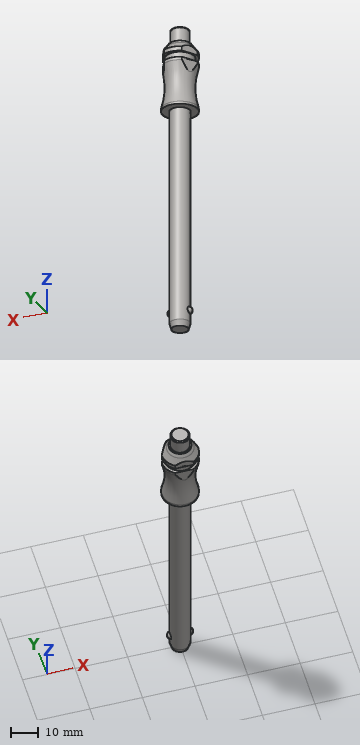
import cadquery as cq

total_length = 121.3
handle_radius = 14.0 / 2

shank_radius = 3.94
tip_radius = 3.21
tip_height = 2.4

ball_radius = 1.5
ball_height = 7.0
ball_reach = 5.0

handle_bottom = 88.3
rim_height = 1.1
waist_radius = 5.7
waist_height = 97.8
groove_bottom = 107.4
groove_top = 109.9
groove_radius = 5.7
shoulder_bottom = 111.6
shoulder_top = 114.1
shoulder_top_radius = 5.1
collar_top = 115.2
collar_top_radius = 4.2

button_radius = 3.58
button_chamfer = 0.5

flat_distance = 6.1
flat_count = 3
first_flat_angle = -90.0

lower_rim_top = handle_bottom + rim_height
upper_rim_bottom = groove_bottom - rim_height


def make_body():
    """Revolve the shank, handle and button about Z."""
    profile = (
        cq.Workplane("XZ")
        .lineTo(tip_radius, 0)
        .lineTo(shank_radius, tip_height)
        .lineTo(shank_radius, handle_bottom)
        .lineTo(handle_radius, handle_bottom)
        .lineTo(handle_radius, lower_rim_top)
        .threePointArc((waist_radius, waist_height), (handle_radius, upper_rim_bottom))
        .lineTo(handle_radius, groove_bottom)
        .lineTo(groove_radius, groove_bottom)
        .lineTo(groove_radius, groove_top)
        .lineTo(handle_radius, groove_top)
        .lineTo(handle_radius, shoulder_bottom)
        .lineTo(shoulder_top_radius, shoulder_top)
        .lineTo(collar_top_radius, collar_top)
        .lineTo(button_radius, collar_top)
        .lineTo(button_radius, total_length - button_chamfer)
        .lineTo(button_radius - button_chamfer, total_length)
        .lineTo(0, total_length)
        .close()
    )
    return profile.revolve(360, (0, 0, 0), (0, 1, 0))


def make_flat_cutter(angle):
    """Block that removes handle material beyond one flat, from the waist up."""
    block_depth = handle_radius
    return (
        cq.Workplane("XY")
        .box(block_depth, 2 * handle_radius, collar_top - waist_height, centered=(False, True, False))
        .translate((flat_distance, 0, waist_height))
        .rotate((0, 0, 0), (0, 0, 1), angle)
    )


def make_ball(side):
    """Locking ball protruding from the shank on the +X or -X side."""
    return cq.Workplane("XY").sphere(ball_radius).translate((side * (ball_reach - ball_radius), 0, ball_height))


result = make_body()

for index in range(flat_count):
    result = result.cut(make_flat_cutter(first_flat_angle + index * 360 / flat_count))

for side in (-1, 1):
    result = result.union(make_ball(side))